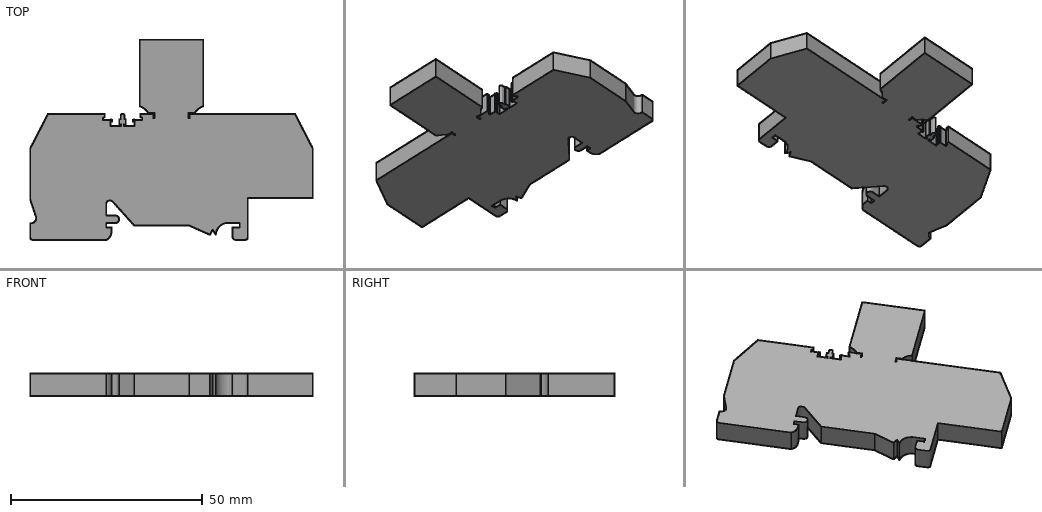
import cadquery as cq

length = 74.0
height = 52.5
thickness = 6.0
body_top = 33.0
shoulder_run = 4.65
shoulder_bottom = 24.0
overhang_bottom = 10.95
belly_y = 3.8

foot_right = 57.0
rail_seat_y = 4.45
hook_top = 3.3
left_slot_x = 20.0
left_hook_x = 21.3
left_hook_flank = 2.0
left_hook_arc_mid = (20.95, 0.9)
tongue_tip = 23.3
tongue_top = 6.45
tongue_radius = (tongue_top - rail_seat_y) / 2
tongue_center_x = tongue_tip - tongue_radius
relief_top = 10.3
relief_radius = 0.75
relief_right = 21.4
relief_foot_x = 27.2
latch_start_x = 41.6
latch_bottom = 1.3
latch_tips = (47.1, 48.6)
latch_valley = (47.7, 2.7)
latch_arc_mid = (49.6, 3.55)
latch_arc_end_x = 51.35
right_slot_x = 54.8
right_hook_x = 52.9
corner_radius = 0.75
right_hook_radius = 0.95

notch_top = 10.6
notch_depth = 1.55
notch_slope_end = 5.9
notch_arc_mid = (1.2, 4.8)
notch_arc_end_x = 0.3

socket_x = 24.2
socket_mouth = 4.65
socket_undercut = 5.1
socket_lip = 2.7
socket_pit = 3.1
socket_neck_y = 32.2
socket_undercut_top = 32.0
socket_step_y = 31.45
lip_top = 31.7
lip_bottom = 31.0
socket_floor = 29.9
post_half = 0.5
post_root_half = 0.4
post_tip_radius = 0.45
post_barb_half = 0.9
post_barb_bottom = 30.3

plug_x = 37.0
plug_half = 8.35
plug_taper_top = 35.0
plug_taper_mid = (7.1, 34.3)
plug_base_half = 6.1
plug_neck_half = 4.5
slit_width = 0.2
slit_bottom = 31.9


def make_body():
    """Housing with its rail feet and the finger notch."""
    outline = (
        cq.Workplane("XY")
        .moveTo(0, 0)
        .lineTo(left_slot_x, 0)
        .threePointArc(left_hook_arc_mid, (left_hook_x, left_hook_flank))
        .lineTo(left_hook_x, hook_top)
        .lineTo(left_slot_x, hook_top)
        .lineTo(left_slot_x, rail_seat_y)
        .lineTo(tongue_center_x, rail_seat_y)
        .threePointArc((tongue_tip, rail_seat_y + tongue_radius), (tongue_center_x, tongue_top))
        .lineTo(left_slot_x, tongue_top)
        .lineTo(left_slot_x, relief_top)
        .lineTo(relief_right, relief_top)
        .lineTo(relief_foot_x, belly_y)
        .lineTo(latch_start_x, belly_y)
        .lineTo(latch_tips[0], latch_bottom)
        .lineTo(*latch_valley)
        .lineTo(latch_tips[1], latch_bottom)
        .threePointArc(latch_arc_mid, (latch_arc_end_x, rail_seat_y))
        .lineTo(right_slot_x, rail_seat_y)
        .lineTo(right_slot_x, hook_top)
        .lineTo(right_hook_x, hook_top)
        .lineTo(right_hook_x, 0)
        .lineTo(foot_right, 0)
        .lineTo(foot_right, overhang_bottom)
        .lineTo(length, overhang_bottom)
        .lineTo(length, shoulder_bottom)
        .lineTo(length - shoulder_run, body_top)
        .lineTo(shoulder_run, body_top)
        .lineTo(0, shoulder_bottom)
        .lineTo(0, notch_top)
        .lineTo(notch_depth, notch_slope_end)
        .threePointArc(notch_arc_mid, (notch_arc_end_x, rail_seat_y))
        .lineTo(0, rail_seat_y)
        .close()
    )
    return outline.extrude(thickness)


def round_corner(body, x, y, radius):
    """Fillet the upright edge at (x, y)."""
    edge = cq.selectors.NearestToPointSelector((x, y, thickness / 2))
    return body.edges("|Z").edges(edge).fillet(radius)


def mirrored_profile(center_x, half_points):
    """Solid from one half outline, mirrored about x = center_x."""
    right = [(center_x + x, y) for x, y in half_points]
    left = [(center_x - x, y) for x, y in reversed(half_points)]
    return cq.Workplane("XY").polyline(right + left).close().extrude(thickness)


def make_socket():
    """Stepped, undercut recess for a marker."""
    return mirrored_profile(socket_x, [
        (socket_mouth, body_top),
        (socket_mouth, socket_neck_y),
        (socket_undercut, socket_undercut_top),
        (socket_undercut, socket_step_y),
        (socket_pit, socket_step_y),
        (socket_pit, lip_top),
        (socket_lip, socket_step_y),
        (socket_lip, lip_bottom),
        (socket_pit, lip_bottom),
        (socket_pit, socket_floor),
    ])


def make_post():
    """Barbed, round-topped post in the middle of the socket."""
    post = mirrored_profile(socket_x, [
        (post_half, body_top),
        (post_half, lip_top),
        (post_barb_half, lip_top),
        (post_barb_half, post_barb_bottom),
        (post_root_half, post_barb_bottom),
        (post_root_half, socket_floor),
    ])
    for side in (-1, 1):
        post = round_corner(post, socket_x + side * post_half, body_top, post_tip_radius)
    return post


def make_plug():
    """Plug block curving in to a neck that enters the body."""
    base_y = body_top + slit_width
    half = (
        cq.Workplane("XY")
        .moveTo(0, height)
        .lineTo(plug_half, height)
        .lineTo(plug_half, plug_taper_top)
        .threePointArc(plug_taper_mid, (plug_base_half, base_y))
        .lineTo(plug_neck_half, base_y)
        .lineTo(plug_neck_half, slit_bottom)
        .lineTo(0, slit_bottom)
        .close()
        .extrude(thickness)
    )
    return half.union(half.mirror("YZ")).clean().translate((plug_x, 0, 0))


def make_slit(side):
    """Narrow vertical gap beside the plug neck."""
    x = plug_x + side * (plug_neck_half + slit_width / 2)
    depth = body_top - slit_bottom
    return (
        cq.Workplane("XY")
        .center(x, slit_bottom + depth / 2)
        .rect(slit_width, depth)
        .extrude(thickness)
    )


body = make_body()
body = round_corner(body, 0, 0, corner_radius)
body = round_corner(body, foot_right, 0, corner_radius)
body = round_corner(body, right_hook_x, 0, right_hook_radius)
body = round_corner(body, left_slot_x, relief_top, relief_radius)
body = round_corner(body, relief_right, relief_top, relief_radius)

body = body.cut(make_socket()).union(make_post())
for side in (-1, 1):
    body = body.cut(make_slit(side))
result = body.union(make_plug())